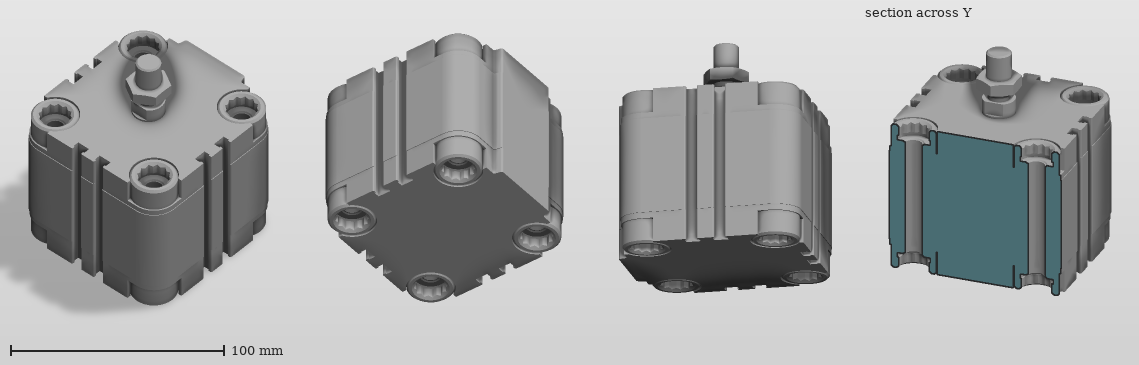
import cadquery as cq
import math

TOTAL_HEIGHT = 106.5
TOTAL_DEPTH = 91.0
HOUSING_HEIGHT = 75.0

BARREL_WIDTH = 87.0
CORNER_PITCH = 62.0
CAP_HEIGHT = 14.5
CAP_INSET = 0.3

TAB_WIDTH = 37.6
TAB_SIDE_ANGLE = 13.0
TAB_FILLET = 1.1

SLOT_SPACING = 13.5
SLOT_DEPTH = 5.3
SLOT_WIDTH = 6.8
SLOT_MOUTH = 5.3
SLOT_LIP = 2.0
SLOT_MOUTH_ROUND = 0.6

RECESS_DEPTH = 11.6
RECESS_EDGE = 25.2
RECESS_DIAMETER = 23.4
COLLAR_DIAMETER = 23.0
COLLAR_CHAMFER = 1.1

SOCKET_TIP_DIAMETER = 16.0
SOCKET_MOUTH_DIAMETER = 17.8
SOCKET_MOUTH_DEPTH = 1.5
SOCKET_POINTS = 12
SOCKET_DEPTH = 5.9
UNDERCUT_DIAMETER = 16.5
UNDERCUT_DEPTH = 7.9
BOLT_HOLE_DIAMETER = 8.5
BOLT_HOLE_MOUTH_DIAMETER = 10.6
BOLT_HOLE_STEP_DIAMETER = 9.6

ROD_DIAMETER = 16.0
ROD_FLATS = 13.0
ROD_COLLAR = 1.1
ROD_SHOULDER_HEIGHT = 7.5
NECK_DIAMETER = 10.6
NECK_HEIGHT = 1.9
NECK_TAPER = 1.2
THREAD_DIAMETER = 12.0
THREAD_CHAMFER = 0.7

NUT_FLATS = 19.0
NUT_HEIGHT = 6.0
NUT_DROP = 13.0
NUT_CHAMFER_ANGLE = 15.0
HEXAGON_SIDES = 6
HEXAGON_HALF_ANGLE = 180 / HEXAGON_SIDES

HALF_WIDTH = BARREL_WIDTH / 2
NUT_TOP = TOTAL_HEIGHT - NUT_DROP
TAB_REACH = TOTAL_DEPTH - HALF_WIDTH
HALF_PITCH = CORNER_PITCH / 2
CORNER_RADIUS = HALF_WIDTH - HALF_PITCH
CORNERS = [(sx * HALF_PITCH, sy * HALF_PITCH) for sx in (-1, 1) for sy in (-1, 1)]


def rounded_square(inset, height):
    """Square block with round corners, set in from the barrel outline."""
    side = BARREL_WIDTH - 2 * inset
    block = cq.Workplane("XY").rect(side, side).extrude(height)
    return block.edges("|Z").fillet(CORNER_RADIUS - inset)


def tab(inset, height):
    """Tab with sloping sides on the +Y side, its sides set in by inset."""
    wall = HALF_WIDTH - inset
    half_top = TAB_WIDTH / 2 - inset
    half_root = half_top + (TAB_REACH - wall) * math.tan(math.radians(TAB_SIDE_ANGLE))
    outline = [
        (-half_root, 0),
        (-half_root, wall),
        (-half_top, TAB_REACH),
        (half_top, TAB_REACH),
        (half_root, wall),
        (half_root, 0),
    ]
    plate = cq.Workplane("XY").polyline(outline).close().extrude(height)
    return plate.edges("|Z and >Y").fillet(TAB_FILLET)


def slot_cutter(offset, inset, height):
    """T-shaped slot opening to -Y at X = offset, with a rounded mouth."""
    wall = -HALF_WIDTH + inset
    floor = -HALF_WIDTH + SLOT_DEPTH
    lip = -HALF_WIDTH + SLOT_LIP
    half_mouth = SLOT_MOUTH / 2
    half_slot = SLOT_WIDTH / 2
    half_flare = half_mouth + SLOT_MOUTH_ROUND
    arc_reach = SLOT_MOUTH_ROUND * (1 - math.sqrt(0.5))
    return (
        cq.Workplane("XY").center(offset, 0)
        .moveTo(-half_flare, wall)
        .threePointArc((-half_mouth - arc_reach, wall + arc_reach), (-half_mouth, wall + SLOT_MOUTH_ROUND))
        .lineTo(-half_mouth, lip)
        .lineTo(-half_slot, lip)
        .lineTo(-half_slot, floor)
        .lineTo(half_slot, floor)
        .lineTo(half_slot, lip)
        .lineTo(half_mouth, lip)
        .lineTo(half_mouth, wall + SLOT_MOUTH_ROUND)
        .threePointArc((half_mouth + arc_reach, wall + arc_reach), (half_flare, wall))
        .close().extrude(height)
    )


def profile_block(inset, bottom, height):
    """Length of the slotted housing profile, set in from the barrel outline."""
    block = rounded_square(inset, height).union(tab(inset, height))
    tab_roots = cq.selectors.BoxSelector(
        (-TAB_WIDTH, HALF_WIDTH - inset - TAB_FILLET / 2, 0),
        (TAB_WIDTH, HALF_WIDTH - inset + TAB_FILLET / 2, height),
    )
    block = block.edges("|Z").edges(tab_roots).fillet(TAB_FILLET)
    for side_angle in (-90, 0, 90):
        for offset in (-SLOT_SPACING / 2, SLOT_SPACING / 2):
            slot = slot_cutter(offset, inset, height)
            block = block.cut(slot.rotate((0, 0, 0), (0, 0, 1), side_angle))
    return block.translate((0, 0, bottom))


def corner_recess():
    """Open corner pocket at +X +Y in the top cap, leaving room for a collar."""
    floor = cq.Workplane("XY").workplane(offset=HOUSING_HEIGHT - RECESS_DEPTH)
    square_side = HALF_WIDTH - RECESS_EDGE
    square_centre = RECESS_EDGE + square_side / 2
    square = floor.center(square_centre, square_centre).rect(square_side, square_side).extrude(RECESS_DEPTH)
    ring = floor.center(HALF_PITCH, HALF_PITCH).circle(RECESS_DIAMETER / 2).extrude(RECESS_DEPTH)
    return square.union(ring)


def collar():
    """Round collar at +X +Y, rising from the recess floor to the top face."""
    floor = cq.Workplane("XY").workplane(offset=HOUSING_HEIGHT - RECESS_DEPTH)
    post = floor.center(HALF_PITCH, HALF_PITCH).circle(COLLAR_DIAMETER / 2).extrude(RECESS_DEPTH)
    return post.faces(">Z").chamfer(COLLAR_CHAMFER)


def cone_cutter(top, top_diameter, depth, bottom_diameter):
    """Cone on the +X +Y collar axis, narrowing downwards from Z = top."""
    cone = cq.Solid.makeCone(
        top_diameter / 2, bottom_diameter / 2, depth,
        cq.Vector(HALF_PITCH, HALF_PITCH, top), cq.Vector(0, 0, -1),
    )
    return cq.Workplane(cone)


def socket_cutter():
    """Socket of the +X +Y collar with its coned mouths and undercut.

    The twelve points are those of two crossed hexagons.
    """
    tip_radius = SOCKET_TIP_DIAMETER / 2
    root_radius = (
        tip_radius * math.cos(math.radians(HEXAGON_HALF_ANGLE)) / math.cos(math.pi / SOCKET_POINTS)
    )
    outline = []
    for step in range(2 * SOCKET_POINTS):
        angle = step * math.pi / SOCKET_POINTS
        radius = tip_radius if step % 2 == 0 else root_radius
        outline.append((radius * math.cos(angle), radius * math.sin(angle)))
    star_bottom = HOUSING_HEIGHT - SOCKET_DEPTH
    floor_height = HOUSING_HEIGHT - UNDERCUT_DEPTH
    axis = cq.Workplane("XY").center(HALF_PITCH, HALF_PITCH)
    star = axis.workplane(offset=star_bottom).polyline(outline).close().extrude(SOCKET_DEPTH)
    undercut = (
        axis.workplane(offset=floor_height)
        .circle(UNDERCUT_DIAMETER / 2).extrude(star_bottom - floor_height)
    )
    mouth = cone_cutter(HOUSING_HEIGHT, SOCKET_MOUTH_DIAMETER, SOCKET_MOUTH_DEPTH, 2 * root_radius)
    hole_mouth_depth = (BOLT_HOLE_MOUTH_DIAMETER - BOLT_HOLE_STEP_DIAMETER) / 2
    hole_mouth = cone_cutter(
        floor_height, BOLT_HOLE_MOUTH_DIAMETER, hole_mouth_depth, BOLT_HOLE_STEP_DIAMETER
    )
    return star.union(undercut).union(mouth).union(hole_mouth)


def at_all_corners(shape):
    """Copies of a +X +Y top feature at the four corners, top and bottom."""
    copies = []
    for turn in range(4):
        top_copy = shape.rotate((0, 0, 0), (0, 0, 1), 90 * turn)
        bottom_copy = top_copy.mirror("XY", (0, 0, HOUSING_HEIGHT / 2))
        copies += [top_copy, bottom_copy]
    return copies


def make_housing():
    """Slotted barrel with inset end caps, corner collars and a blind rod bore."""
    body = profile_block(CAP_INSET, 0, HOUSING_HEIGHT)
    body = body.union(profile_block(0, CAP_HEIGHT, HOUSING_HEIGHT - 2 * CAP_HEIGHT))
    for recess in at_all_corners(corner_recess()):
        body = body.cut(recess)
    for post in at_all_corners(collar()):
        body = body.union(post)
    for socket in at_all_corners(socket_cutter()):
        body = body.cut(socket)
    bolt_holes = cq.Workplane("XY").pushPoints(CORNERS).circle(BOLT_HOLE_DIAMETER / 2).extrude(HOUSING_HEIGHT)
    rod_bore = (
        cq.Workplane("XY").workplane(offset=HOUSING_HEIGHT - CAP_HEIGHT)
        .circle(ROD_DIAMETER / 2).extrude(CAP_HEIGHT)
    )
    return body.cut(bolt_holes).cut(rod_bore).solids()


def make_rod():
    """Rod guided in the top cap, with wrench flats, neck and threaded end."""
    rod_bottom = HOUSING_HEIGHT - CAP_HEIGHT
    shoulder = HOUSING_HEIGHT + ROD_SHOULDER_HEIGHT
    neck_top = shoulder + NECK_HEIGHT
    profile = [
        (0, rod_bottom),
        (ROD_DIAMETER / 2, rod_bottom),
        (ROD_DIAMETER / 2, shoulder),
        (NECK_DIAMETER / 2, shoulder),
        (NECK_DIAMETER / 2, neck_top),
        (THREAD_DIAMETER / 2, neck_top + NECK_TAPER),
        (THREAD_DIAMETER / 2, TOTAL_HEIGHT - THREAD_CHAMFER),
        (THREAD_DIAMETER / 2 - THREAD_CHAMFER, TOTAL_HEIGHT),
        (0, TOTAL_HEIGHT),
    ]
    rod = cq.Workplane("XZ").polyline(profile).close().revolve(360, (0, 0, 0), (0, 1, 0))
    flat_bottom = HOUSING_HEIGHT + ROD_COLLAR
    flat_height = shoulder - flat_bottom
    for side in (-1, 1):
        flat = (
            cq.Workplane("XY").workplane(offset=flat_bottom)
            .center(0, side * (ROD_FLATS + ROD_DIAMETER) / 2)
            .rect(ROD_DIAMETER, ROD_DIAMETER).extrude(flat_height)
        )
        rod = rod.cut(flat)
    return rod.solids()


def make_nut():
    """Hexagon nut with points along Y and both ends turned to a cone."""
    tip_radius = NUT_FLATS / 2 / math.cos(math.radians(HEXAGON_HALF_ANGLE))
    flat_radius = NUT_FLATS / 2
    chamfer_drop = (tip_radius - flat_radius) * math.tan(math.radians(NUT_CHAMFER_ANGLE))
    bottom = NUT_TOP - NUT_HEIGHT
    hexagon = (
        cq.Workplane("XY").workplane(offset=bottom)
        .polygon(HEXAGON_SIDES, 2 * tip_radius).extrude(NUT_HEIGHT)
        .rotate((0, 0, 0), (0, 0, 1), HEXAGON_HALF_ANGLE)
    )
    turned_profile = [
        (THREAD_DIAMETER / 2, bottom),
        (flat_radius, bottom),
        (tip_radius, bottom + chamfer_drop),
        (tip_radius, NUT_TOP - chamfer_drop),
        (flat_radius, NUT_TOP),
        (THREAD_DIAMETER / 2, NUT_TOP),
    ]
    turned = cq.Workplane("XZ").polyline(turned_profile).close().revolve(360, (0, 0, 0), (0, 1, 0))
    return hexagon.intersect(turned).solids()


housing = make_housing()
rod = make_rod()
nut = make_nut()

result = cq.Compound.makeCompound([housing.val(), rod.val(), nut.val()])